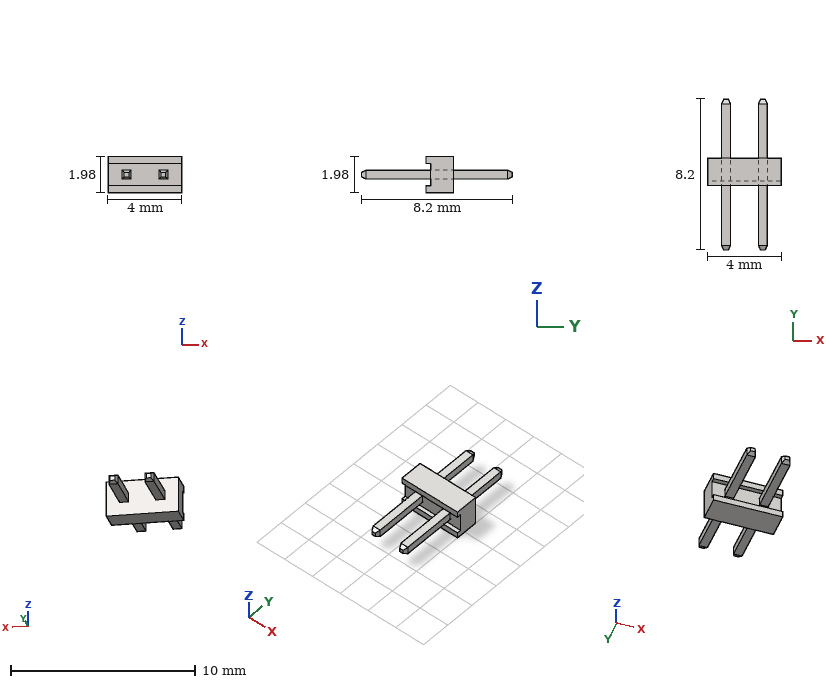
import cadquery as cq

pin_count = 2
pitch = 2.0
housing_length = pin_count * pitch
housing_depth = 1.5
housing_height = 1.98
lip_height = 0.39
channel_depth = 0.255

pin_length = 8.2
pin_width = 0.5
tip_length = 0.255
tip_width = 0.255
pin_front_reach = 3.5

pin_front = -pin_front_reach
pin_positions = [(i - (pin_count - 1) / 2) * pitch for i in range(pin_count)]


def make_housing():
    """Block with a channel along its front face and a square hole for each pin."""
    block = cq.Workplane("XY").box(
        housing_length, housing_depth, housing_height, centered=(True, False, True)
    )
    channel = cq.Workplane("XY").box(
        housing_length, channel_depth, housing_height - 2 * lip_height, centered=(True, False, True)
    )
    holes = (
        cq.Workplane("XZ")
        .pushPoints([(x, 0) for x in pin_positions])
        .rect(pin_width, pin_width)
        .extrude(-housing_depth)
    )
    return block.cut(channel).cut(holes)


def make_tip(base_y, end_y):
    """Square pyramid frustum that narrows from base_y to end_y."""
    return (
        cq.Workplane("XZ", origin=(0, base_y, 0))
        .rect(pin_width, pin_width)
        .workplane(offset=base_y - end_y)
        .rect(tip_width, tip_width)
        .loft(ruled=True)
    )


def make_pin(x):
    """Square pin along Y with a tapered tip at each end."""
    pin_back = pin_front + pin_length
    shank_front = pin_front + tip_length
    shank_back = pin_back - tip_length
    shank = (
        cq.Workplane("XZ", origin=(0, shank_front, 0))
        .rect(pin_width, pin_width)
        .extrude(shank_front - shank_back)
    )
    front_tip = make_tip(shank_front, pin_front)
    back_tip = make_tip(shank_back, pin_back)
    return shank.union(front_tip).union(back_tip).translate((x, 0, 0))


housing = make_housing()
pins = [make_pin(x) for x in pin_positions]

result = cq.Compound.makeCompound([housing.val(), *[pin.val() for pin in pins]])